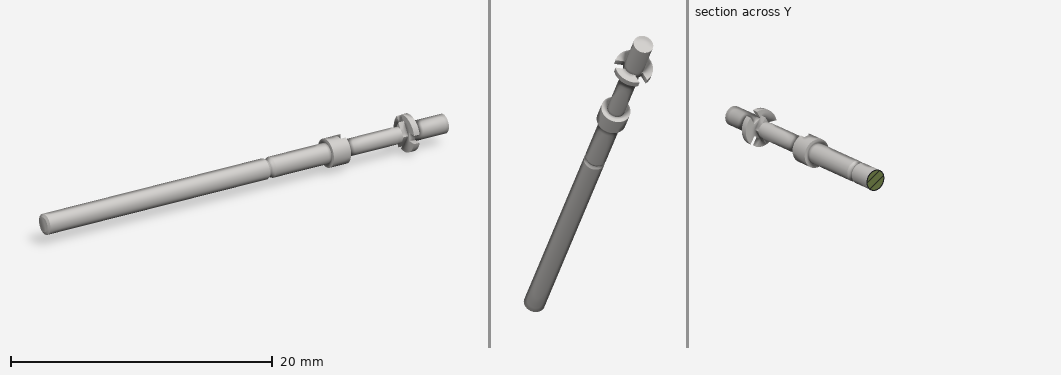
import cadquery as cq
import math

length = 36.05
tail_end = length / 2

disc_start = 3.05
disc_end = 3.57
diamond_end = 4.07
neck_end = 4.47
collar_start = 9.05
collar_end = 10.6
groove_start = 15.57
groove_floor = 15.9
groove_end = 16.15

tail_diameter = 1.55
disc_diameter = 3.0
neck_radius = 0.65
stem_radius = 0.7
collar_radius = 1.15
barrel_radius = 0.83
groove_radius = 0.7

tip_bevel_length = 0.125
tip_bevel_width = 0.235

slot_count = 3
slot_width = 0.7
slot_floor = 0.75

notch_width = 0.72
notch_length = 0.47

diamond_half_height = 1.05
diamond_half_width = diamond_half_height * math.tan(math.radians(30))


def station(distance):
    """Y position of a place given by its distance from the tail end."""
    return tail_end - distance


def rod(start, end, radius):
    """Cylinder along Y between two distances from the tail end."""
    return (
        cq.Workplane("XZ", origin=(0, station(start), 0))
        .circle(radius)
        .extrude(end - start)
    )


def slotted_disc():
    disc = rod(disc_start, disc_end, disc_diameter / 2)
    slot_depth = disc_diameter / 2 - slot_floor
    for index in range(slot_count):
        slot = (
            cq.Workplane("XZ", origin=(0, station(disc_start), 0))
            .center(slot_floor + slot_depth / 2, 0)
            .rect(slot_depth, slot_width)
            .extrude(disc_end - disc_start)
            .rotate((0, 0, 0), (0, 1, 0), index * 360 / slot_count)
        )
        disc = disc.cut(slot)
    return disc


def diamond():
    return (
        cq.Workplane("XZ", origin=(0, station(disc_end), 0))
        .moveTo(diamond_half_width, 0)
        .lineTo(0, diamond_half_height)
        .lineTo(-diamond_half_width, 0)
        .lineTo(0, -diamond_half_height)
        .close()
        .extrude(diamond_end - disc_end)
    )


def notched_collar():
    notch = (
        cq.Workplane("XY")
        .box(notch_width, notch_length, collar_radius, centered=(True, False, False))
        .translate((0, station(collar_start) - notch_length, 0))
    )
    return rod(collar_start, collar_end, collar_radius).cut(notch)


def barrel():
    """Turned barrel with a V groove and a bevelled tip."""
    return (
        cq.Workplane("XY")
        .moveTo(0, station(collar_end))
        .lineTo(barrel_radius, station(collar_end))
        .lineTo(barrel_radius, station(groove_start))
        .lineTo(groove_radius, station(groove_floor))
        .lineTo(barrel_radius, station(groove_end))
        .lineTo(barrel_radius, station(length - tip_bevel_length))
        .lineTo(barrel_radius - tip_bevel_width, station(length))
        .lineTo(0, station(length))
        .close()
        .revolve(360, (0, 0, 0), (0, 1, 0))
    )


result = (
    rod(0, disc_start, tail_diameter / 2)
    .union(slotted_disc())
    .union(diamond())
    .union(rod(diamond_end, neck_end, neck_radius))
    .union(rod(neck_end, collar_end, stem_radius))
    .union(notched_collar())
    .union(barrel())
)